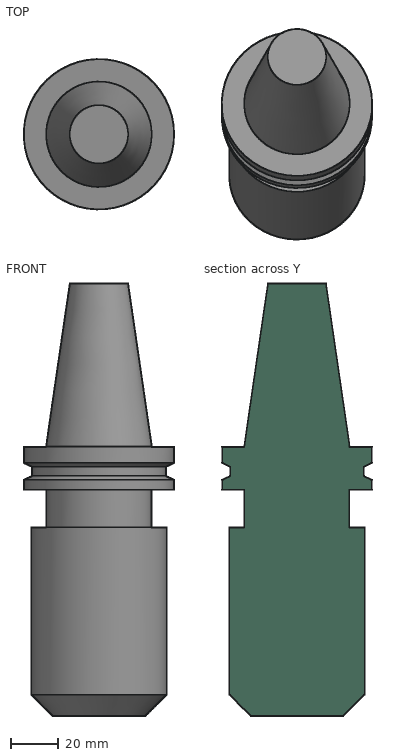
import cadquery as cq

total_height = 182.5
nose_height = 9.1
body_top = 79.6
flange_bottom = 95.5
flange_top = 113.5
land_height = 0.7

nose_diameter = 39.0
body_diameter = 57.3
neck_diameter = 44.5
flange_diameter = 63.5
taper_large_diameter = 44.5
taper_small_diameter = 24.6

groove_root_diameter = 56.5
lower_rim_thickness = 4.2
upper_rim_thickness = 6.8
groove_wall_height = 1.6

groove_bottom = flange_bottom + lower_rim_thickness
groove_top = flange_top - upper_rim_thickness

profile = [
    (0, 0),
    (nose_diameter, 0),
    (body_diameter, nose_height),
    (body_diameter, body_top),
    (neck_diameter, body_top),
    (neck_diameter, flange_bottom),
    (flange_diameter, flange_bottom),
    (flange_diameter, groove_bottom),
    (groove_root_diameter, groove_bottom + groove_wall_height),
    (groove_root_diameter, groove_top - groove_wall_height),
    (flange_diameter, groove_top),
    (flange_diameter, flange_top),
    (taper_large_diameter, flange_top),
    (taper_large_diameter, flange_top + land_height),
    (taper_small_diameter, total_height),
    (0, total_height),
]

result = (
    cq.Workplane("XZ")
    .polyline([(diameter / 2, height) for diameter, height in profile])
    .close()
    .revolve(360, (0, 0), (0, 1))
)